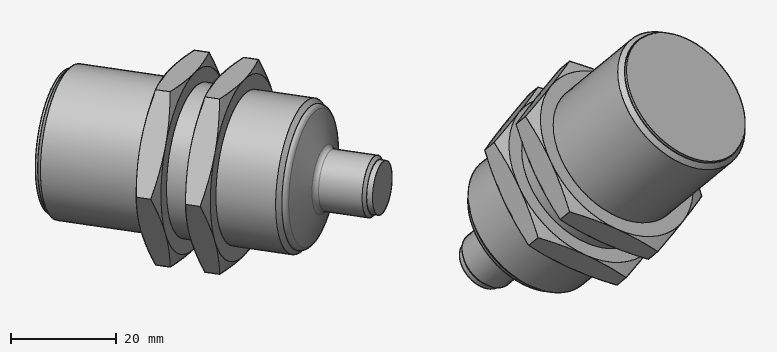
import cadquery as cq
import math

total_length = 65.0

barrel_radius = 30.0 / 2
barrel_chamfer = 0.9
barrel_rear_end = 50.0

nose_radius = 28.0 / 2
nose_length = 0.5

shoulder_radius = barrel_radius - barrel_chamfer
taper_start = 50.8
taper_end = 53.55
taper_fillet = 1.1

connector_radius = 12.0 / 2
connector_chamfer = 0.65
tip_radius = 5.25
tip_length = 1.2

nut_sides = 6
nut_across_flats = 36.0
nut_thickness = 5.0
nut_chamfer_angle = 20.0
nut_pitch = 2 * nut_thickness
first_nut_start = 22.0
nut_count = 2


def make_housing():
    """Revolve the stepped sensor outline about X, then round both ends of the taper."""
    connector_end = total_length - tip_length
    outline = [
        (0, 0),
        (0, nose_radius),
        (nose_length, nose_radius),
        (nose_length, barrel_radius - barrel_chamfer),
        (nose_length + barrel_chamfer, barrel_radius),
        (barrel_rear_end - barrel_chamfer, barrel_radius),
        (barrel_rear_end, shoulder_radius),
        (taper_start, shoulder_radius),
        (taper_end, connector_radius),
        (connector_end - connector_chamfer, connector_radius),
        (connector_end, connector_radius - connector_chamfer),
        (connector_end, tip_radius),
        (total_length, tip_radius),
        (total_length, 0),
    ]
    body = cq.Workplane("XY").polyline(outline).close().revolve(360, (0, 0, 0), (1, 0, 0))
    box_margin = 0.05
    taper_box = cq.selectors.BoxSelector(
        (taper_start - box_margin, -barrel_radius, -barrel_radius),
        (taper_end + box_margin, barrel_radius, barrel_radius),
    )
    taper_edges = body.edges("%CIRCLE").edges(taper_box)
    return taper_edges.fillet(taper_fillet)


def make_nut(start):
    """Hexagonal nut whose front face is at X = start, with corners coned off on both faces."""
    corner_radius = nut_across_flats / 2 / math.cos(math.pi / nut_sides)
    face_radius = nut_across_flats / 2
    cone_depth = (corner_radius - face_radius) * math.tan(math.radians(nut_chamfer_angle))
    end = start + nut_thickness

    hexagon = (
        cq.Workplane("YZ", origin=(start, 0, 0))
        .polygon(nut_sides, 2 * corner_radius)
        .circle(barrel_radius)
        .extrude(nut_thickness)
    )
    envelope_outline = [
        (start, 0),
        (start, face_radius),
        (start + cone_depth, corner_radius),
        (end - cone_depth, corner_radius),
        (end, face_radius),
        (end, 0),
    ]
    envelope = cq.Workplane("XY").polyline(envelope_outline).close().revolve(360, (0, 0, 0), (1, 0, 0))
    return hexagon.intersect(envelope)


housing = make_housing()
nuts = [make_nut(first_nut_start + i * nut_pitch) for i in range(nut_count)]

result = cq.Compound.makeCompound([housing.val(), *[nut.val() for nut in nuts]])